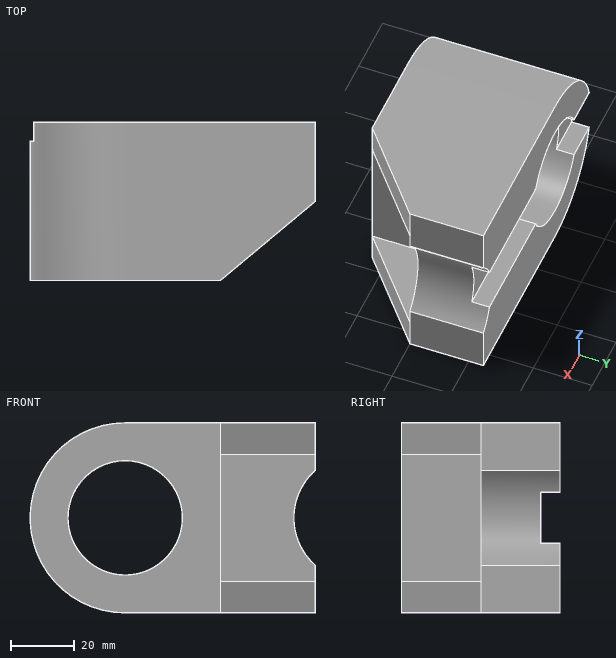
import cadquery as cq
import math

height = 60.0
depth = 50.0
overall_length = 90.0
end_radius = height / 2
tip_x = overall_length - end_radius
bore_diameter = 36.0

bevel_start_x = 30.0
bevel_end_y = depth / 2

cheek_height = 10.0
recess_height = height - 2 * cheek_height
recess_floor_y = bevel_end_y

relief_radius = 20.0
relief_chord = 30.0
relief_center_x = tip_x + math.sqrt(relief_radius**2 - (relief_chord / 2) ** 2)

keyway_width = 16.0
keyway_depth = 6.0


def cylinder_along_y(radius, center_x):
    """Cylinder spanning the full depth, centred on z = 0."""
    axis_start = cq.Vector(center_x, 0, 0)
    return cq.Workplane(cq.Solid.makeCylinder(radius, depth, axis_start, cq.Vector(0, 1, 0)))


def box_between(x_range, y_range, z_height):
    """Box over the given X and Y ranges, centred on z = 0."""
    x_size = x_range[1] - x_range[0]
    y_size = y_range[1] - y_range[0]
    corner = (x_range[0], y_range[0], -z_height / 2)
    return cq.Workplane().box(x_size, y_size, z_height, centered=False).translate(corner)


def make_body():
    """Beveled block with a half-cylinder end."""
    block = (
        cq.Workplane("XY", origin=(0, 0, -height / 2))
        .moveTo(0, 0)
        .lineTo(bevel_start_x, 0)
        .lineTo(tip_x, bevel_end_y)
        .lineTo(tip_x, depth)
        .lineTo(0, depth)
        .close()
        .extrude(height)
    )
    return block.union(cylinder_along_y(end_radius, 0))


bore = cylinder_along_y(bore_diameter / 2, 0)
recess = box_between((bevel_start_x, tip_x), (0, recess_floor_y), recess_height)
relief = cylinder_along_y(relief_radius, relief_center_x)
keyway = box_between((-end_radius, tip_x), (depth - keyway_depth, depth), keyway_width)

result = make_body().cut(bore).cut(recess).cut(relief).cut(keyway)